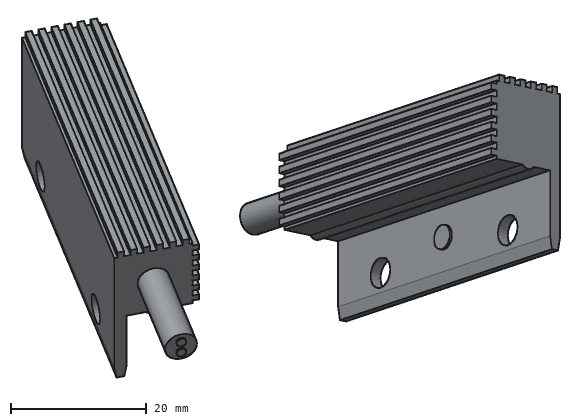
import cadquery as cq
import math


overall_length = 65.2
housing_length = 50.0
core_side = 12.0
fins_per_side = 6
flange_drop = core_side
flange_thickness = 1.9
taper_height = 2.0
taper_angle = 10.0
hole_diameter = 4.55
hole_spacing = 30.0
hole_height = 5.0
rib_radius = 1.5
cable_diameter = 4.9
cable_length = 14.9
wire_diameter = 1.5
wire_spacing = 2.0
pad_diameter = 3.7
pad_thickness = 0.4
pad_height = 7.2

fin_pitch = core_side / fins_per_side
fin_width = fin_pitch / 2
fin_height = fin_pitch / 2
taper_inset = taper_height * math.tan(math.radians(taper_angle))
core_top = flange_drop + core_side
core_center_y = core_side / 2
core_center_z = flange_drop + core_side / 2
rib_center_z = flange_drop + fin_pitch / 2
wire_length = overall_length - housing_length - cable_length


def rod(x, y, z, diameter, length):
    """Round bar along +X starting at (x, y, z)."""
    plane = cq.Plane(origin=(x, y, z), xDir=(0, 1, 0), normal=(1, 0, 0))
    return cq.Workplane(plane).circle(diameter / 2).extrude(length)


def flanged_core():
    """Square core with a thin flange hanging from its mounting face."""
    outline = [
        (0, core_top),
        (0, taper_height),
        (taper_inset, 0),
        (flange_thickness - taper_inset, 0),
        (flange_thickness, taper_height),
        (flange_thickness, flange_drop),
        (core_side, flange_drop),
        (core_side, core_top),
    ]
    return cq.Workplane("YZ").polyline(outline).close().extrude(housing_length)


def cooling_fins():
    """Equal rows of fins on the top and on the back of the core."""
    fins = cq.Workplane("YZ")
    for index in range(fins_per_side):
        offset = (index + 0.5) * fin_pitch
        fins = fins.add(
            cq.Workplane("YZ")
            .center(offset, core_top + fin_height / 2)
            .rect(fin_width, fin_height)
            .extrude(housing_length)
        )
        fins = fins.add(
            cq.Workplane("YZ")
            .center(core_side + fin_height / 2, flange_drop + offset)
            .rect(fin_height, fin_width)
            .extrude(housing_length)
        )
    return fins.combine()


def cable():
    """Cable on the housing end with two wire tips, one above the other."""
    sheath = rod(housing_length, core_center_y, core_center_z, cable_diameter, cable_length)
    for side in (-1, 1):
        wire_z = core_center_z + side * wire_spacing / 2
        tip = rod(housing_length + cable_length, core_center_y, wire_z, wire_diameter, wire_length)
        sheath = sheath.union(tip)
    return sheath


def flange_pad():
    """Thin round pad on the back of the flange, at mid length."""
    plane = cq.Plane(
        origin=(housing_length / 2, flange_thickness, pad_height), xDir=(1, 0, 0), normal=(0, 1, 0)
    )
    return cq.Workplane(plane).circle(pad_diameter / 2).extrude(pad_thickness)


def mounting_holes():
    """Two through holes in the flange."""
    plane = cq.Plane(origin=(housing_length / 2, 0, hole_height), xDir=(1, 0, 0), normal=(0, 1, 0))
    centers = [(-hole_spacing / 2, 0), (hole_spacing / 2, 0)]
    return cq.Workplane(plane).pushPoints(centers).circle(hole_diameter / 2).extrude(flange_thickness)


bottom_rib = rod(0, core_center_y, rib_center_z, 2 * rib_radius, housing_length)

result = (
    flanged_core()
    .union(cooling_fins())
    .union(bottom_rib)
    .union(cable())
    .union(flange_pad())
    .cut(mounting_holes())
)